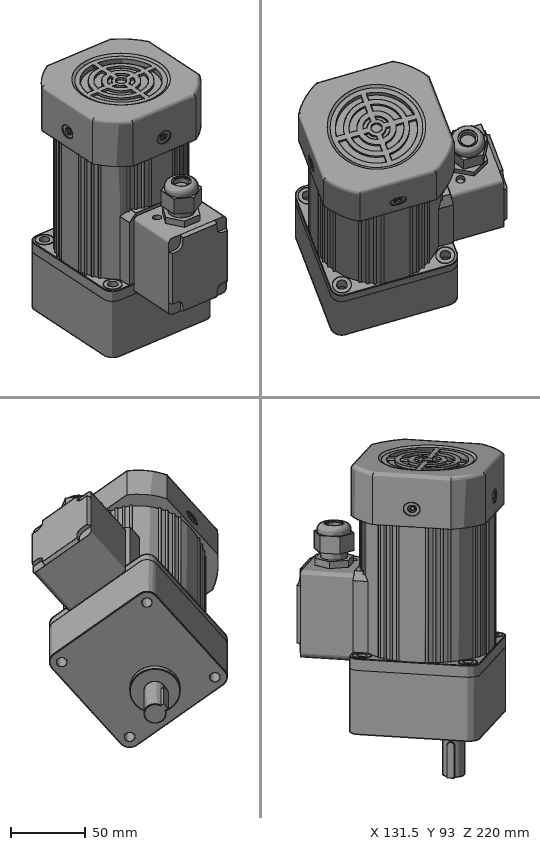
import cadquery as cq
import math


total_height = 220.0
overall_length = 131.5
shaft_length = 32.0
boss_height = 4.2
gearhead_height = 44.9
flange_height = 8.1
cover_height = 36.0

gearhead_bottom = shaft_length + boss_height
gearhead_top = gearhead_bottom + gearhead_height
flange_top = gearhead_top + flange_height
cover_bottom = total_height - cover_height

frame_width = 90.0
frame_corner_radius = 8.0
rim_chamfer = 0.5
screw_spacing = 73.5
screw_hole_diameter = 7.0
screw_pad_diameter = 12.8
screw_pad_height = 0.5
boss_diameter = 34.0

shaft_offset = -18.0
shaft_diameter = 15.0
key_length = 25.0
key_width = 5.0
key_reach = 9.5

bead_radius = 1.0
first_bead_angle = 13.0
bead_pitch_angle = 6.5
beads_per_row = 4
pad_width = 57.6
pad_top = 144.5
pad_chamfer = 5.5

cover_width = 93.0
cover_corner_radius = 54.0
cover_top_fillet = 3.0
grille_top_radius = 33.2
grille_floor_radius = 31.2
grille_recess = 1.0
grille_thickness = 1.8
fan_chamber_depth = 2.0
grille_slots = [(6.4, 9.2), (13.2, 18.5), (22.2, 27.7)]
grille_spoke_width = 4.0
grille_centre_radius = 3.7
fan_chamber_radius = 27.7
cover_screw_height = 196.2
cover_screw_seat = (11.5, 9.5, 0.9)
cover_screw_head = (6.0, 4.8, 2.0)
cover_screw_socket = (3.5, 2.6, 3.3)

box_width = 50.0
box_bottom = 81.6
box_top = 142.1
box_end = 82.3
box_edge_fillet = 3.3
lid_end = overall_length - cover_width / 2
lid_edge_slope = 1.3
lid_notch = 10.1
lid_notch_fillet = 4.8
vent_x = 55.2
vent_y = -13.2
vent_diameter = 6.0
vent_depth = 4.5

gland_x = 65.0
gland_base_corners = 27.0
gland_base_height = 4.8
gland_base_turn = 30.0
gland_neck_diameter = 18.0
gland_neck_height = 5.3
gland_nut_corners = 27.7
gland_nut_height = 12.0
gland_dome_diameter = 22.9
gland_dome_height = 6.2
gland_dome_fillet = 4.2
gland_mouth_diameter = 13.2
gland_mouth_depth = 0.9
gland_hole_diameter = 10.5
gland_hole_depth = 4.5


def at_height(z):
    return cq.Workplane("XY").workplane(offset=z)


def frame_block(bottom, height):
    """Square block with rounded corners, shared by the gearhead and the motor flange."""
    block = at_height(bottom).rect(frame_width, frame_width).extrude(height)
    return block.edges("|Z").fillet(frame_corner_radius)


def frame_screw_points(workplane):
    """The four screw places near the frame corners."""
    return workplane.rect(screw_spacing, screw_spacing, forConstruction=True).vertices()


def drill_frame(block, bottom, height):
    """Drill the four screw holes through a frame block."""
    holes = frame_screw_points(at_height(bottom)).circle(screw_hole_diameter / 2).extrude(height)
    return block.cut(holes)


def make_gearhead():
    """Gearhead block with an off-centre boss around the shaft."""
    block = frame_block(gearhead_bottom, gearhead_height).faces("<Z").chamfer(rim_chamfer)
    block = drill_frame(block, gearhead_bottom, gearhead_height)
    boss = at_height(shaft_length).center(shaft_offset, 0).circle(boss_diameter / 2).extrude(boss_height)
    boss = boss.faces("<Z").chamfer(rim_chamfer)
    return block.union(boss)


def make_output_shaft():
    """Shaft with a key on its +Y side, rounded at the upper end and open at the tip."""
    shaft = at_height(0).center(shaft_offset, 0).circle(shaft_diameter / 2).extrude(shaft_length)
    shaft = shaft.faces("<Z").chamfer(rim_chamfer)
    key_radius = key_width / 2
    key = cq.Workplane("XZ").moveTo(shaft_offset - key_radius, 0).lineTo(shaft_offset + key_radius, 0)
    key = key.lineTo(shaft_offset + key_radius, key_length - key_radius)
    key = key.threePointArc((shaft_offset, key_length), (shaft_offset - key_radius, key_length - key_radius))
    key = key.close().extrude(-key_reach)
    return shaft.union(key)


def casing_beads():
    """Half-round beads along the casing, a row on each side of every quarter point."""
    beads = []
    for quarter in range(4):
        for side in (-1, 1):
            for i in range(beads_per_row):
                angle = math.radians(90 * quarter + side * (first_bead_angle + i * bead_pitch_angle))
                x = frame_width / 2 * math.cos(angle)
                y = frame_width / 2 * math.sin(angle)
                beads.append((x, y))
    return at_height(flange_top).pushPoints(beads).circle(bead_radius).extrude(cover_bottom - flange_top)


def terminal_pad():
    """Flat-faced pad on the +X side of the casing that carries the terminal box."""
    pad = at_height(flange_top).center(frame_width / 4, 0)
    pad = pad.rect(frame_width / 2, pad_width).extrude(pad_top - flange_top)
    return pad.faces(">Z").edges("|X").chamfer(pad_chamfer)


def make_motor():
    """Flange with raised screw pads, topped by the round beaded casing and its terminal pad."""
    flange = frame_block(gearhead_top, flange_height).faces(">Z").chamfer(rim_chamfer)
    pads = frame_screw_points(at_height(flange_top)).circle(screw_pad_diameter / 2).extrude(screw_pad_height)
    casing = at_height(flange_top).circle(frame_width / 2).extrude(cover_bottom - flange_top)
    flange = drill_frame(flange.union(pads), gearhead_top, flange_height + screw_pad_height)
    return flange.union(casing).union(casing_beads()).union(terminal_pad())


def grille_cut():
    """Dished recess, the slotted grille below it and the shallow chamber behind the grille."""
    floor = total_height - grille_recess
    recess = at_height(total_height).circle(grille_top_radius)
    recess = recess.workplane(offset=-grille_recess).circle(grille_floor_radius).loft(ruled=True)
    slots = cq.Workplane("XY")
    for inner_radius, outer_radius in grille_slots:
        ring = at_height(floor).circle(outer_radius).circle(inner_radius)
        slots = slots.add(ring.extrude(-grille_thickness))
    slots = slots.combine()
    spoke_length = 2 * grille_top_radius
    spokes = at_height(floor).rect(spoke_length, grille_spoke_width).extrude(-grille_thickness)
    spokes = spokes.union(at_height(floor).rect(grille_spoke_width, spoke_length).extrude(-grille_thickness))
    centre = at_height(floor).circle(grille_centre_radius).extrude(-grille_thickness)
    chamber = at_height(floor - grille_thickness).circle(fan_chamber_radius).extrude(-fan_chamber_depth)
    return recess.union(slots.cut(spokes)).union(centre).union(chamber)


def cover_screw_cut():
    """Stepped oval screw recess in the -Y side of the cover."""
    cut = cq.Workplane("XY")
    for width, height, depth in (cover_screw_seat, cover_screw_head, cover_screw_socket):
        plane = cq.Workplane("XZ", origin=(0, -cover_width / 2, cover_screw_height))
        cut = cut.add(plane.ellipse(width / 2, height / 2).extrude(-depth))
    return cut.combine()


def make_fan_cover():
    """Square cover with rounded corners, a grille on top and a screw recess in each side."""
    cover = at_height(cover_bottom).rect(cover_width, cover_width).extrude(cover_height)
    cover = cover.intersect(at_height(cover_bottom).circle(cover_corner_radius).extrude(cover_height))
    cover = cover.faces(">Z").edges().fillet(cover_top_fillet)
    cover = cover.cut(grille_cut())
    for quarter in range(4):
        cover = cover.cut(cover_screw_cut().rotate((0, 0, 0), (0, 0, 1), 90 * quarter))
    return cover


def make_terminal_box():
    """Box bolted to the casing pad, with a corner-notched lid on the +X end."""
    box_height = box_top - box_bottom
    box_start = frame_width / 2
    middle = (box_bottom + box_top) / 2
    box = cq.Workplane("YZ", origin=(box_start, 0, middle)).rect(box_width, box_height)
    box = box.extrude(box_end - box_start).edges("|X").fillet(box_edge_fillet)
    vent = at_height(box_top).center(vent_x, vent_y).circle(vent_diameter / 2).extrude(-vent_depth)

    lid_thickness = lid_end - box_end
    lid_plane = cq.Workplane("YZ", origin=(box_end, 0, middle))
    lid_taper = math.degrees(math.atan(lid_edge_slope / lid_thickness))
    lid = lid_plane.rect(box_width, box_height).extrude(lid_thickness, taper=lid_taper)
    notches = lid_plane.rect(box_width, box_height, forConstruction=True).vertices()
    notches = notches.rect(2 * lid_notch, 2 * lid_notch).extrude(lid_thickness)
    notches = notches.edges("|X").fillet(lid_notch_fillet)
    return box.cut(vent).union(lid.cut(notches))


def make_cable_gland():
    """Hexagonal base, round neck, hexagonal nut and a domed mouth."""
    neck_bottom = box_top + gland_base_height
    nut_bottom = neck_bottom + gland_neck_height
    dome_bottom = nut_bottom + gland_nut_height
    dome_top = dome_bottom + gland_dome_height
    base = at_height(box_top).polygon(6, gland_base_corners).extrude(gland_base_height)
    base = base.rotate((0, 0, 0), (0, 0, 1), gland_base_turn)
    neck = at_height(neck_bottom).circle(gland_neck_diameter / 2).extrude(gland_neck_height)
    nut = at_height(nut_bottom).polygon(6, gland_nut_corners).extrude(gland_nut_height)
    dome = at_height(dome_bottom).circle(gland_dome_diameter / 2).extrude(gland_dome_height)
    dome = dome.faces(">Z").edges().fillet(gland_dome_fillet)
    mouth = at_height(dome_top).circle(gland_mouth_diameter / 2).extrude(-gland_mouth_depth)
    hole = at_height(dome_top).circle(gland_hole_diameter / 2).extrude(-gland_hole_depth)
    gland = base.union(neck).union(nut).union(dome).cut(mouth).cut(hole)
    return gland.translate((gland_x, 0, 0))


gearhead = make_gearhead()
output_shaft = make_output_shaft()
motor = make_motor()
fan_cover = make_fan_cover()
terminal_box = make_terminal_box()
cable_gland = make_cable_gland()

result = cq.Compound.makeCompound([
    gearhead.solids().val(),
    output_shaft.solids().val(),
    motor.solids().val(),
    fan_cover.solids().val(),
    terminal_box.solids().val(),
    cable_gland.solids().val(),
])